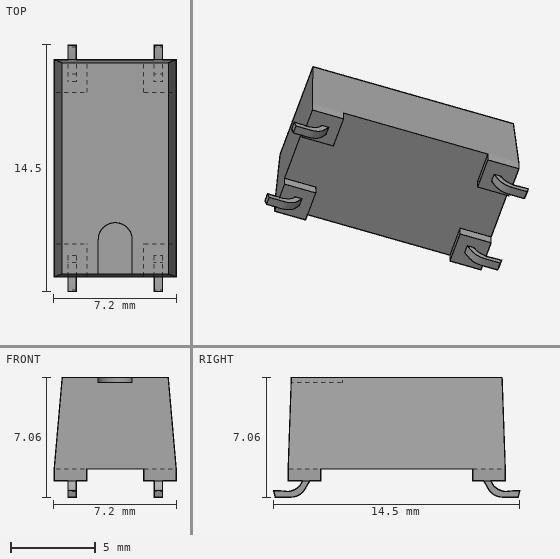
import cadquery as cq
import math

body_width = 7.2
body_length = 12.8
body_height = 5.4
side_draft = 5.0
end_draft = 2.0

foot_width = 1.93
foot_length = 1.93
foot_height = 0.7

notch_width = 2.0
notch_center_inset = 2.2
notch_depth = 0.3

overall_length = 14.51
lead_pitch = 5.08
lead_width = 0.5
lead_thickness = 0.37
lead_tip_thickness = 0.395
lead_tip_undercut = 0.1
lead_bend_inset = 0.167
lead_bend_radius = 0.966
lead_bend_angle = 60.0
standoff = 0.96

body_bottom = standoff + foot_height
body_top = body_bottom + body_height


def make_body():
    top_width = body_width - 2 * body_height * math.tan(math.radians(side_draft))
    top_length = body_length - 2 * body_height * math.tan(math.radians(end_draft))
    return (
        cq.Workplane("XY")
        .workplane(offset=body_bottom)
        .rect(body_width, body_length)
        .workplane(offset=body_height)
        .rect(top_width, top_length)
        .loft(ruled=True)
    )


def make_feet():
    return (
        cq.Workplane("XY")
        .workplane(offset=standoff)
        .rect(body_width - foot_width, body_length - foot_length, forConstruction=True)
        .vertices()
        .rect(foot_width, foot_length)
        .extrude(foot_height)
    )


def make_notch():
    half_width = notch_width / 2
    end_y = -body_length / 2
    center_y = end_y + notch_center_inset
    return (
        cq.Workplane("XY")
        .workplane(offset=body_top - notch_depth)
        .moveTo(-half_width, end_y)
        .lineTo(half_width, end_y)
        .lineTo(half_width, center_y)
        .threePointArc((0, center_y + half_width), (-half_width, center_y))
        .close()
        .extrude(notch_depth)
    )


def make_lead(center_x):
    """One lead at the +Y end: a flat toe, a bend, and a sloping leg that ends at the foot.

    The outer face of the bend is an arc; the inner face runs from the foot to the tip
    as one smooth curve.
    """
    bend_y = body_length / 2 - lead_bend_inset
    inner_radius = lead_bend_radius - lead_thickness
    tip_y = overall_length / 2
    tip_top = (tip_y, lead_tip_thickness)

    def bend_point(radius, degrees):
        angle = math.radians(degrees)
        return (bend_y - radius * math.sin(angle), lead_bend_radius - radius * math.cos(angle))

    leg_direction = (
        math.cos(math.radians(lead_bend_angle)),
        -math.sin(math.radians(lead_bend_angle)),
    )

    def leg_top(radius):
        y, z = bend_point(radius, lead_bend_angle)
        return (y - (standoff - z) / math.tan(math.radians(lead_bend_angle)), standoff)

    return (
        cq.Workplane("YZ")
        .workplane(offset=center_x - lead_width / 2)
        .moveTo(*tip_top)
        .lineTo(tip_y - lead_tip_undercut, 0)
        .lineTo(bend_y, 0)
        .threePointArc(
            bend_point(lead_bend_radius, lead_bend_angle / 2),
            bend_point(lead_bend_radius, lead_bend_angle),
        )
        .lineTo(*leg_top(lead_bend_radius))
        .lineTo(*leg_top(inner_radius))
        .spline(
            [bend_point(inner_radius, lead_bend_angle), bend_point(inner_radius, 0), tip_top],
            tangents=[leg_direction, (1, 0)],
            includeCurrent=True,
        )
        .close()
        .extrude(lead_width)
    )


result = make_body().cut(make_notch()).union(make_feet())
for lead_x in (-lead_pitch / 2, lead_pitch / 2):
    lead = make_lead(lead_x)
    result = result.union(lead).union(lead.mirror("XZ"))